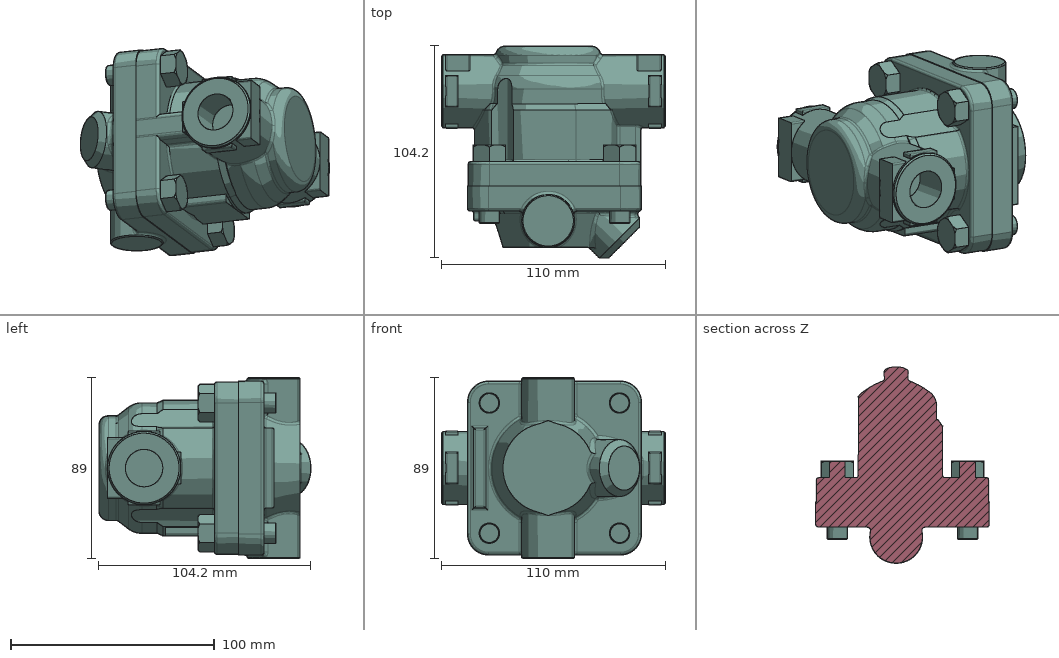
import cadquery as cq
import math


PORT_SPAN = 110.0
PORT_DIA = 36.0
PORT_Y = 46.5
PORT_CHAMFER = 0.8
BORE_DIA = 18.4
BORE_DEPTH = 20.0
PAD_END_GAP = 2.0
PAD_LENGTH = 6.2
PAD_WIDTH = 15.7
PAD_RISE = 0.25
PAD_FILLET = 0.7
BLOCK_LENGTH = 12.0
BLOCK_HALF_HEIGHT = 15.0
BLOCK_DEPTH = 8.2

AXIS_X = -2.6
BODY_END_Y = 68.7
NECK_RADIUS = 25.8
NECK_FILLET = 4.7
NECK_ROOT_RADIUS = 2.1
SHOULDER_RADIUS = 11.0
SHOULDER_ANGLE = 37.0
WAIST_RADIUS = 32.1
WAIST_END_Y = 47.6
SKIRT_RADIUS = 33.4
SKIRT_LEFT_REACH = 36.3
SKIRT_LEFT_EDGE_RADIUS = 34.1
SKIRT_LEFT_EDGE_ANGLE = 145.0
SKIRT_RIGHT_REACH = 34.7
SKIRT_RIGHT_BULGE = 0.3
SKIRT_BLEND_ANGLE = 66.0
SKIRT_STEP_ANGLE = 132.0
SKIRT_END_Y = 37.2
SKIRT_TAPER_HEIGHT = 3.2
SKIRT_TAPER_ANGLE = 24.0
SCALLOP_RADIUS = 12.3
CORE_PORT_FILLET = 1.6
SKIRT_PORT_FILLET = 1.0
BODY_FLANGE_ROOT_FILLET = 1.0

CHANNEL_REACH_X = 43.0
CHANNEL_HALF_HEIGHT = 6.6
CHANNEL_FILLET = 2.6
CHANNEL_ROOT_FILLET = 1.6
UNDER_PAD_HALF_WIDTH = 16.2
UNDER_PAD_END_Y = 36.0
UNDER_PAD_FILLET = 1.2

FLANGE_X = 0.5
BODY_FLANGE_SIZE = 84.8
BODY_FLANGE_THICKNESS = 12.0
COVER_FLANGE_SIZE = 85.5
COVER_FLANGE_THICKNESS = 12.4
FLANGE_CORNER_RADIUS = 10.4
FLANGE_EDGE_FILLET = 1.4
BOLT_PITCH = 64.0
BOLT_DIA = 10.0
BOLT_TIP_Y = -18.4
BOLT_CHAMFER = 0.4
HEX_FLATS = 16.0
HEX_HEIGHT = 8.0
HEX_CHAMFER = 0.9

COVER_FACE_Y = -30.2
CONE_BASE_RADIUS = 28.1
CONE_FACE_RADIUS = 22.2
CROSS_DIA = 26.0
CROSS_SPAN = 89.0
CROSS_CHAMFER = 0.6
CONE_ROOT_FILLET = 1.6
CROSS_ROOT_FILLET = 1.6
CAP_ROOT_FILLET = 2.0
CONE_EXCESS = 4.0
CAP_DIA = 28.0
CAP_CHAMFER = 3.15
CAP_FACE_X = 34.7
CAP_FACE_Y = -27.84
CAP_LENGTH = 25.0
RIB_X = -36.2
RIB_WIDTH = 6.0
RIB_LENGTH = 39.4
RIB_HEIGHT = 4.9
RIB_FILLET = 1.0
RIB_ROOT_FILLET = 1.0

SEAM_TOLERANCE = 1e-3
HALF_SPAN = PORT_SPAN / 2
PORT_RADIUS = PORT_DIA / 2
BOLT_CENTRES = [
    (FLANGE_X + sx * BOLT_PITCH / 2, sz * BOLT_PITCH / 2) for sx in (-1, 1) for sz in (-1, 1)
]


def plane_y(y):
    """Sketch plane at height y: local axes are X and Z, extrusion runs toward -Y."""
    return cq.Workplane("XZ", origin=(0, y, 0))


def box(x_range, y_range, z_range):
    """Box given by its limits along each axis."""
    size = [hi - lo for lo, hi in (x_range, y_range, z_range)]
    corner = (x_range[0], y_range[0], z_range[0])
    return cq.Workplane("XY").box(*size, centered=False).translate(corner)


def blend_union(first, second, radius):
    """Union of two shapes with the seam between them filleted."""
    joined = first.union(second)
    solids = (first.val(), second.val())
    seam = []
    for edge in joined.edges().vals():
        middle = cq.Vertex.makeVertex(*edge.positionAt(0.5).toTuple())
        if all(middle.distance(solid) < SEAM_TOLERANCE for solid in solids):
            seam.append(edge)
    return joined.newObject(seam).fillet(radius)


def revolve_on_axis(profile):
    """Revolve a (radius, Y) profile around the body axis."""
    return profile.close().revolve(360, (0, 0, 0), (0, 1, 0)).translate((AXIS_X, 0, 0))


def body_core():
    """Turned body: rounded end, neck, S-shaped shoulder and waist."""
    angle = math.radians(SHOULDER_ANGLE)
    slope_start_radius = WAIST_RADIUS - SHOULDER_RADIUS * (1 - math.cos(angle))
    slope_start_y = WAIST_END_Y + SHOULDER_RADIUS * math.sin(angle)
    slope_end_radius = NECK_RADIUS + NECK_ROOT_RADIUS * (1 - math.cos(angle))
    slope_end_y = slope_start_y + (slope_start_radius - slope_end_radius) / math.tan(angle)
    neck_start_y = slope_end_y + NECK_ROOT_RADIUS * math.sin(angle)
    profile = (
        cq.Workplane("XY")
        .lineTo(WAIST_RADIUS, 0)
        .lineTo(WAIST_RADIUS, WAIST_END_Y)
        .tangentArcPoint((slope_start_radius, slope_start_y), relative=False)
        .lineTo(slope_end_radius, slope_end_y)
        .tangentArcPoint((NECK_RADIUS, neck_start_y), relative=False)
        .lineTo(NECK_RADIUS, BODY_END_Y - NECK_FILLET)
        .tangentArcPoint((NECK_RADIUS - NECK_FILLET, BODY_END_Y), relative=False)
        .lineTo(0, BODY_END_Y)
    )
    return revolve_on_axis(profile)


def skirt_outline(y):
    """Skirt section: wide left side, round top and bottom, slightly wider right side."""

    def polar(radius, angle, side=1):
        a = math.radians(angle)
        return (AXIS_X + radius * math.cos(a), side * radius * math.sin(a))

    top_angle = (SKIRT_STEP_ANGLE + SKIRT_BLEND_ANGLE) / 2
    right_radius = (SKIRT_RADIUS + SKIRT_RIGHT_REACH) / 2 + SKIRT_RIGHT_BULGE
    right_angle = SKIRT_BLEND_ANGLE / 2
    return (
        plane_y(y)
        .moveTo(*polar(SKIRT_LEFT_EDGE_RADIUS, SKIRT_LEFT_EDGE_ANGLE, -1))
        .threePointArc(polar(SKIRT_LEFT_REACH, 180), polar(SKIRT_LEFT_EDGE_RADIUS, SKIRT_LEFT_EDGE_ANGLE))
        .lineTo(*polar(SKIRT_RADIUS, SKIRT_STEP_ANGLE))
        .threePointArc(polar(SKIRT_RADIUS, top_angle), polar(SKIRT_RADIUS, SKIRT_BLEND_ANGLE))
        .threePointArc(polar(right_radius, right_angle), polar(SKIRT_RIGHT_REACH, 0))
        .threePointArc(polar(right_radius, right_angle, -1), polar(SKIRT_RADIUS, SKIRT_BLEND_ANGLE, -1))
        .threePointArc(polar(SKIRT_RADIUS, top_angle, -1), polar(SKIRT_RADIUS, SKIRT_STEP_ANGLE, -1))
        .close()
    )


def outlet_channel():
    """Rounded channel from the right port down to the flange."""
    return (
        box((0, CHANNEL_REACH_X), (0, SKIRT_END_Y), (-CHANNEL_HALF_HEIGHT, CHANNEL_HALF_HEIGHT))
        .edges("|Y and >X")
        .fillet(CHANNEL_FILLET)
    )


def body_skirt():
    """Skirt between flange and waist, tapered where it meets the waist."""
    straight = skirt_outline(SKIRT_END_Y).extrude(SKIRT_END_Y)
    taper = skirt_outline(SKIRT_END_Y).extrude(-SKIRT_TAPER_HEIGHT, taper=SKIRT_TAPER_ANGLE)
    return straight.union(taper)


def skirt_with_channel():
    """Skirt with the outlet channel flared into its right side."""
    joined = body_skirt().union(outlet_channel())
    near_root = SKIRT_RIGHT_REACH / 2
    roots = joined.edges(
        cq.selectors.BoxSelector(
            (near_root, 0, -CHANNEL_HALF_HEIGHT - SEAM_TOLERANCE),
            (SKIRT_RIGHT_REACH, SKIRT_END_Y, CHANNEL_HALF_HEIGHT + SEAM_TOLERANCE),
        )
    ).edges("|Y").edges(">Z or <Z")
    return roots.fillet(CHANNEL_ROOT_FILLET)


def bolt_scallops():
    """Round clearances beside the two left nuts."""
    left_centres = [(x, z) for x, z in BOLT_CENTRES if x < 0]
    return plane_y(BODY_END_Y).pushPoints(left_centres).circle(SCALLOP_RADIUS).extrude(BODY_END_Y)


def port_cylinder():
    """Cylinder of both ports."""
    return (
        cq.Workplane("YZ", origin=(-HALF_SPAN, PORT_Y, 0))
        .circle(PORT_RADIUS)
        .extrude(PORT_SPAN)
        .edges()
        .chamfer(PORT_CHAMFER)
    )


def under_pad():
    """Flat pad on the underside of the skirt."""
    sides = (AXIS_X - UNDER_PAD_HALF_WIDTH, AXIS_X + UNDER_PAD_HALF_WIDTH)
    return box(sides, (0, UNDER_PAD_END_Y), (-SKIRT_RADIUS, 0)).edges("|Y and <Z").fillet(UNDER_PAD_FILLET)


def port_pads(side):
    """Three wrench pads and the mounting block at one port end (side is -1 or 1)."""
    reach = PORT_RADIUS + PAD_RISE
    start = HALF_SPAN - PAD_END_GAP
    pad_x = sorted((side * start, side * (start - PAD_LENGTH)))
    block_x = sorted((side * start, side * (start - BLOCK_LENGTH)))
    pad_y = (PORT_Y - PAD_WIDTH / 2, PORT_Y + PAD_WIDTH / 2)
    pad = box(pad_x, pad_y, (0, reach)).edges(">Z").fillet(PAD_FILLET)
    block_y = (PORT_Y + PORT_RADIUS - BLOCK_DEPTH, PORT_Y + PORT_RADIUS)
    pads = box(block_x, block_y, (-BLOCK_HALF_HEIGHT, BLOCK_HALF_HEIGHT)).edges("|Y").fillet(PAD_FILLET)
    for angle in (0, 90, 180):
        pads = pads.union(pad.rotate((0, PORT_Y, 0), (1, PORT_Y, 0), angle))
    return pads


def port_bore(side):
    """Blind bore into one port end (side is -1 or 1)."""
    end = cq.Workplane("YZ", origin=(side * HALF_SPAN, PORT_Y, 0))
    return end.circle(BORE_DIA / 2).extrude(-side * BORE_DEPTH)


def flange(size, y_top, thickness, rounded_face):
    """Square flange with round corners; one face has rounded edges."""
    return (
        plane_y(y_top)
        .center(FLANGE_X, 0)
        .rect(size, size)
        .extrude(thickness)
        .edges("|Y")
        .fillet(FLANGE_CORNER_RADIUS)
        .faces(rounded_face)
        .edges()
        .fillet(FLANGE_EDGE_FILLET)
    )


def valve_body():
    """Body with flange, skirt, waist and ports."""
    scallops = bolt_scallops()
    ports = port_cylinder()
    flange_plate = flange(BODY_FLANGE_SIZE, BODY_FLANGE_THICKNESS, BODY_FLANGE_THICKNESS, ">Y")
    housing = body_core().union(body_skirt()).cut(scallops)
    body = blend_union(housing, flange_plate, BODY_FLANGE_ROOT_FILLET)
    core = blend_union(body_core(), ports, CORE_PORT_FILLET).cut(scallops)
    skirt = blend_union(skirt_with_channel().cut(scallops), ports, SKIRT_PORT_FILLET)
    below_taper = plane_y(SKIRT_END_Y).rect(PORT_SPAN, PORT_SPAN).extrude(SKIRT_END_Y)
    body = body.union(core).union(skirt.intersect(below_taper))
    body = body.union(under_pad()).union(port_pads(-1)).union(port_pads(1))
    return body.cut(port_bore(-1)).cut(port_bore(1))


def cover_cone():
    """Cover cone, carried on past the cover face by the excess height."""
    draft = (CONE_BASE_RADIUS - CONE_FACE_RADIUS) / (-COVER_FLANGE_THICKNESS - COVER_FACE_Y)
    tip_y = COVER_FACE_Y - CONE_EXCESS
    profile = (
        cq.Workplane("XY")
        .lineTo(CONE_BASE_RADIUS, 0)
        .lineTo(CONE_BASE_RADIUS, -COVER_FLANGE_THICKNESS)
        .lineTo(CONE_FACE_RADIUS - draft * CONE_EXCESS, tip_y)
        .lineTo(0, tip_y)
    )
    return revolve_on_axis(profile)


def cross_boss():
    """Vertical round boss, tangent to the cover face."""
    return (
        cq.Workplane("XY", origin=(AXIS_X, COVER_FACE_Y + CROSS_DIA / 2, -CROSS_SPAN / 2))
        .circle(CROSS_DIA / 2)
        .extrude(CROSS_SPAN)
        .edges()
        .chamfer(CROSS_CHAMFER)
    )


def strainer_cap():
    """Round cap pointing 45 degrees between +X and -Y."""
    outward = cq.Plane(origin=(CAP_FACE_X, CAP_FACE_Y, 0), xDir=(0, 0, 1), normal=(1, -1, 0))
    return (
        cq.Workplane(outward)
        .circle(CAP_DIA / 2)
        .extrude(-CAP_LENGTH)
        .edges(cq.selectors.DirectionMinMaxSelector(cq.Vector(1, -1, 0)))
        .chamfer(CAP_CHAMFER)
    )


def cover_rib():
    """Upright bar on the cover flange, left of the cone."""
    x_range = (RIB_X - RIB_WIDTH / 2, RIB_X + RIB_WIDTH / 2)
    y_range = (-COVER_FLANGE_THICKNESS - RIB_HEIGHT, -COVER_FLANGE_THICKNESS)
    return box(x_range, y_range, (-RIB_LENGTH / 2, RIB_LENGTH / 2)).faces("<Y").edges().fillet(RIB_FILLET)


def cover():
    """Cover flange with rib, cone, cross boss and strainer cap, faced flat in front."""
    part = flange(COVER_FLANGE_SIZE, 0, COVER_FLANGE_THICKNESS, "<Y")
    part = blend_union(part, cover_rib(), RIB_ROOT_FILLET)
    part = blend_union(part, cover_cone(), CONE_ROOT_FILLET)
    part = blend_union(part, cross_boss(), CROSS_ROOT_FILLET)
    part = part.cut(plane_y(COVER_FACE_Y).rect(PORT_SPAN, PORT_SPAN).extrude(2 * CONE_EXCESS))
    return blend_union(part, strainer_cap(), CAP_ROOT_FILLET)


def bolts():
    """Four through bolts: chamfered hexagon on the body side, plain tip on the cover side."""
    head_y = BODY_FLANGE_THICKNESS + HEX_HEIGHT
    corner_dia = HEX_FLATS / math.cos(math.radians(30))
    hexagon = plane_y(head_y).polygon(6, corner_dia).extrude(HEX_HEIGHT).rotate((0, 0, 0), (0, 1, 0), 90)
    envelope = plane_y(head_y).circle(corner_dia / 2).extrude(HEX_HEIGHT).faces(">Y").chamfer(HEX_CHAMFER)
    shank = plane_y(head_y).circle(BOLT_DIA / 2).extrude(head_y - BOLT_TIP_Y)
    shank = shank.faces("<Y").chamfer(BOLT_CHAMFER)
    bolt = hexagon.intersect(envelope).union(shank)
    group = cq.Workplane("XY")
    for x, z in BOLT_CENTRES:
        group = group.add(bolt.translate((x, 0, z)))
    return group.combine()


result = valve_body().union(cover()).union(bolts())